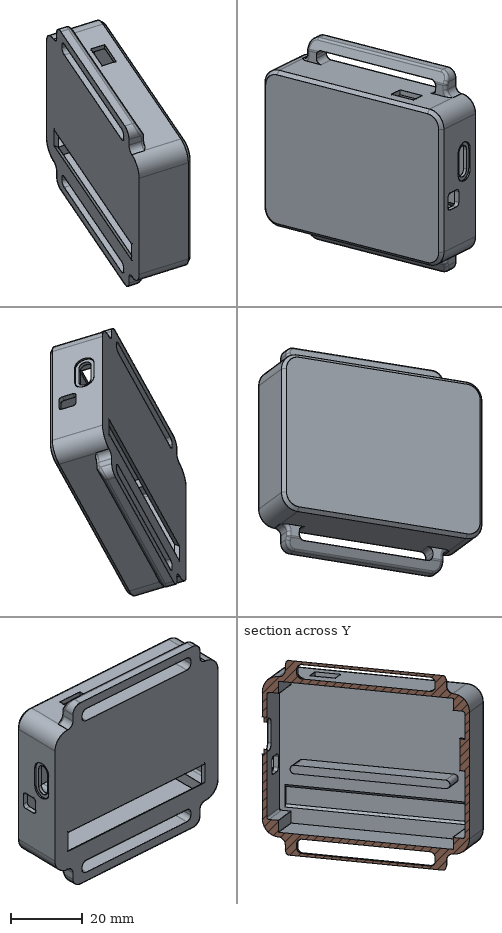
import cadquery as cq

WIDTH = 61.8
HEIGHT = 46.65
DEPTH = 16.2
CORNER_RADIUS = 4.95
WALL = 1.5
POST_FILLET = 0.6
OVERLAP = 1.85
MARGIN = 0.05

BACK_CHAMFER = 1.05
PLUG_DEPTH = 1.05
RIB_THICKNESS = 2.5
RIB_LENGTH = 47.6
RIB_Z = -4.25
RIB_FRONT_Y = 7.4
GROOVE_FLOOR_HEIGHT = 5.05
GROOVE_DEPTH = 0.75

TAB_WIDTH = 48.2
TAB_DEPTH = 4.8
TAB_END_DEPTH = 2.95
TOTAL_HEIGHT = 60.5
TAB_SLOPE_HEIGHT = 3.4
TAB_CORNER_RADIUS = 2.8
TAB_ROOT_RADIUS = 2.0
TAB_EDGE_RADIUS = 1.0
STRAP_SLOT_WIDTH = 41.15
STRAP_SLOT_HEIGHT = 4.0
STRAP_SLOT_RADIUS = 1.55

FRONT_SLOT_HEIGHT = 6.1
FRONT_SLOT_Z = -14.1

PORT_LENGTH = 9.35
PORT_WIDTH = 3.6
PORT_Y = 5.5
PORT_Z = 5.75
PORT_RIM = 1.1
PORT_RIM_DEPTH = 0.5
SWITCH_SIZE = 5.05
SWITCH_RADIUS = 1.0
SWITCH_Y = 10.55
SWITCH_Z = -4.15
TOP_WINDOW_WIDTH = 7.6
TOP_WINDOW_DEPTH = 4.25
TOP_WINDOW_X = -14.3
TOP_WINDOW_Y = 9.9

LEDGE_BACK_Y = 4.7

RIM_Y = DEPTH - BACK_CHAMFER
PLUG_Y = RIM_Y - PLUG_DEPTH
INNER_WIDTH = WIDTH - 2 * WALL
INNER_HEIGHT = HEIGHT - 2 * WALL
INNER_RADIUS = CORNER_RADIUS - WALL
TOP_Z = HEIGHT / 2
TAB_TOP_Z = TOTAL_HEIGHT / 2
FRONT_SLOT_WIDTH = WIDTH - 2 * CORNER_RADIUS


def block(x_size, z_size, y_start, y_end, x=0, z=0):
    """Box centred on x and z that spans y_start to y_end."""
    y = (y_start + y_end) / 2
    return cq.Workplane("XY").box(x_size, y_end - y_start, z_size).translate((x, y, z))


def rounded_block(x_size, z_size, radius, y_start, y_end, x=0, z=0):
    """Block whose four edges along Y are rounded."""
    return block(x_size, z_size, y_start, y_end, x, z).edges("|Y").fillet(radius)


def both_ends(shape):
    """The shape together with its mirror image below Z = 0."""
    return shape.union(shape.mirror("XY"))


def upper_tab():
    """Strap tab with concave roots, a sloped back and rounded back edges."""
    half = TAB_WIDTH / 2
    root_half = half + TAB_ROOT_RADIUS
    base_z = TOP_Z - OVERLAP
    slope_z = TAB_TOP_Z - TAB_SLOPE_HEIGHT
    tab = (
        cq.Workplane("XZ")
        .moveTo(-root_half, base_z)
        .lineTo(-root_half, TOP_Z)
        .radiusArc((-half, TOP_Z + TAB_ROOT_RADIUS), -TAB_ROOT_RADIUS)
        .lineTo(-half, TAB_TOP_Z - TAB_CORNER_RADIUS)
        .radiusArc((-half + TAB_CORNER_RADIUS, TAB_TOP_Z), TAB_CORNER_RADIUS)
        .lineTo(half - TAB_CORNER_RADIUS, TAB_TOP_Z)
        .radiusArc((half, TAB_TOP_Z - TAB_CORNER_RADIUS), TAB_CORNER_RADIUS)
        .lineTo(half, TOP_Z + TAB_ROOT_RADIUS)
        .radiusArc((root_half, TOP_Z), -TAB_ROOT_RADIUS)
        .lineTo(root_half, base_z)
        .close()
        .extrude(-TAB_DEPTH)
    )
    wedge = (
        cq.Workplane("YZ")
        .polyline([(TAB_DEPTH, slope_z), (TAB_END_DEPTH, TAB_TOP_Z), (TAB_DEPTH, TAB_TOP_Z)])
        .close()
        .extrude(WIDTH / 2, both=True)
    )
    tab = tab.cut(wedge)
    above_wall = cq.selectors.BoxSelector(
        (-WIDTH, TAB_END_DEPTH - MARGIN, TOP_Z + MARGIN), (WIDTH, TAB_DEPTH + MARGIN, TAB_TOP_Z + MARGIN)
    )
    front_to_back = cq.selectors.ParallelDirSelector(cq.Vector(0, 1, 0))
    return tab.edges(above_wall - front_to_back).fillet(TAB_EDGE_RADIUS)


def strap_slot():
    """Cutter for the upper strap slot, flush with the top wall."""
    return rounded_block(
        STRAP_SLOT_WIDTH, STRAP_SLOT_HEIGHT, STRAP_SLOT_RADIUS,
        -OVERLAP, TAB_DEPTH + OVERLAP, z=TOP_Z + STRAP_SLOT_HEIGHT / 2,
    )


def cavity():
    """Inside space with a square post left standing in each corner."""
    space = rounded_block(INNER_WIDTH, INNER_HEIGHT, INNER_RADIUS, PLUG_Y, RIM_Y)
    post = INNER_RADIUS
    wide = rounded_block(INNER_WIDTH, INNER_HEIGHT - 2 * post, POST_FILLET, WALL, PLUG_Y)
    tall = block(INNER_WIDTH - 2 * post, INNER_HEIGHT, WALL, PLUG_Y)
    return space.union(wide).union(tall)


def front_slot():
    """Slot through the front wall whose long sides flare at 45 degrees."""
    half = FRONT_SLOT_HEIGHT / 2
    return (
        cq.Workplane("YZ")
        .polyline([(0, -half), (0, half), (WALL, half + WALL), (WALL, -half - WALL)])
        .close()
        .extrude(FRONT_SLOT_WIDTH / 2, both=True)
        .translate((0, 0, FRONT_SLOT_Z))
    )


def obround(length, width, depth):
    """Upright obround cutter at the port, running in from the left side."""
    return (
        cq.Workplane("YZ", origin=(-WIDTH / 2, PORT_Y, PORT_Z))
        .slot2D(length, width, 90)
        .extrude(depth)
    )


def port():
    """Obround port with a shallow wider recess around it."""
    hole = obround(PORT_LENGTH, PORT_WIDTH, WALL)
    recess = obround(PORT_LENGTH + 2 * PORT_RIM, PORT_WIDTH + 2 * PORT_RIM, PORT_RIM_DEPTH)
    return hole.union(recess)


def switch_opening():
    """Square opening with rounded corners through the left wall."""
    opening = cq.Workplane("XY").box(WALL, SWITCH_SIZE, SWITCH_SIZE).edges("|X").fillet(SWITCH_RADIUS)
    return opening.translate(((WALL - WIDTH) / 2, SWITCH_Y, SWITCH_Z))


def top_window():
    """Rectangular opening through the top wall."""
    return cq.Workplane("XY").box(TOP_WINDOW_WIDTH, TOP_WINDOW_DEPTH, WALL).translate(
        (TOP_WINDOW_X, TOP_WINDOW_Y, TOP_Z - WALL / 2)
    )


def ledge():
    """Ledge on the inside of the right wall, level with the port."""
    return block(2 * WALL, PORT_LENGTH, WALL, LEDGE_BACK_Y, WIDTH / 2 - WALL, PORT_Z)


def make_housing():
    """Open-backed box with a strap tab at the top and bottom."""
    shell = rounded_block(WIDTH, HEIGHT, CORNER_RADIUS, 0, RIM_Y)
    shell = shell.union(both_ends(upper_tab()))
    shell = shell.cut(both_ends(strap_slot()))
    shell = shell.cut(cavity())
    shell = shell.union(ledge())
    for opening in (front_slot(), port(), switch_opening(), top_window()):
        shell = shell.cut(opening)
    return shell


def make_cover():
    """Chamfered back plate with a plug, a round-ended rib and a groove."""
    plate = rounded_block(WIDTH, HEIGHT, CORNER_RADIUS, PLUG_Y, DEPTH)
    plate = plate.faces(">Y").edges().chamfer(BACK_CHAMFER)
    around = block(2 * WIDTH, 2 * HEIGHT, PLUG_Y, RIM_Y)
    plug = rounded_block(INNER_WIDTH, INNER_HEIGHT, INNER_RADIUS, PLUG_Y, RIM_Y)
    rib = (
        cq.Workplane("XZ", origin=(0, RIB_FRONT_Y, RIB_Z))
        .slot2D(RIB_LENGTH, RIB_THICKNESS)
        .extrude(RIB_FRONT_Y - RIM_Y)
    )
    floor_half = GROOVE_FLOOR_HEIGHT / 2
    mouth_half = floor_half + GROOVE_DEPTH
    groove_y = PLUG_Y + GROOVE_DEPTH
    groove = (
        cq.Workplane("YZ")
        .moveTo(PLUG_Y, -mouth_half)
        .lineTo(PLUG_Y, mouth_half)
        .lineTo(groove_y, floor_half)
        .lineTo(groove_y, -floor_half)
        .close()
        .extrude(FRONT_SLOT_WIDTH / 2 + OVERLAP, both=True)
        .translate((0, 0, FRONT_SLOT_Z))
    )
    return plate.cut(around.cut(plug)).union(rib).cut(groove)


housing = make_housing()
cover = make_cover()
result = cq.Compound.makeCompound([housing.val(), cover.val()])